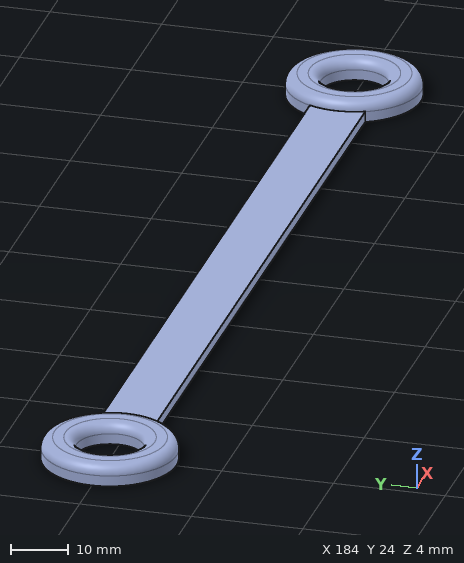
import cadquery as cq

overall_length = 184.0
ring_diameter = 24.0
hole_diameter = 12.0
ring_height = 4.0
edge_radius = 2.0
strap_width = 10.0
strap_thickness = 2.0

ring_offset = (overall_length - ring_diameter) / 2
ring_centers = [(-ring_offset, 0), (ring_offset, 0)]


def make_rings():
    """Two flat-bottomed eyes, rounded along the outer and inner top edges."""
    discs = (
        cq.Workplane("XY")
        .pushPoints(ring_centers)
        .circle(ring_diameter / 2)
        .circle(hole_diameter / 2)
        .extrude(ring_height)
    )
    return discs.faces(">Z").edges().fillet(edge_radius)


def make_strap():
    """Flat bar joining the eyes, with the holes kept clear."""
    bar = cq.Workplane("XY").box(
        2 * ring_offset, strap_width, strap_thickness, centered=(True, True, False)
    )
    holes = (
        cq.Workplane("XY")
        .pushPoints(ring_centers)
        .circle(hole_diameter / 2)
        .extrude(ring_height)
    )
    return bar.cut(holes)


result = make_rings().union(make_strap())